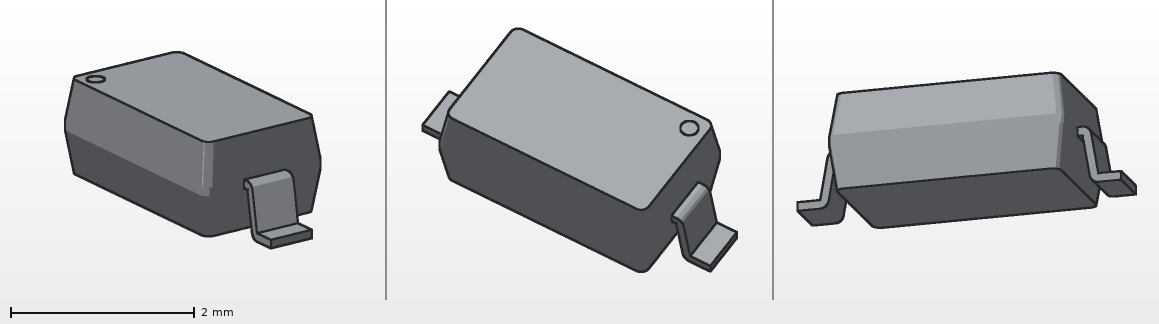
import cadquery as cq
import math


overall_length = 3.7
body_length = 2.7
body_width = 1.6
body_bottom = 0.05
body_top = 1.15
body_corner_radius = 0.1
draft_angle = 8.0

lead_thickness = 0.1
lead_width = 0.55
lead_foot_length = 0.26
lead_lean_angle = 10.0

dot_diameter = 0.2
dot_depth = 0.007
dot_x = -1.08
dot_y = -0.53

body_middle = (body_bottom + body_top) / 2
band_bottom = body_middle - lead_thickness / 2
band_top = body_middle + lead_thickness / 2


def rounded_rectangle(z, inset):
    """Body cross-section at height z, drawn in from the band on every side."""
    return cq.Sketch().rect(
        body_length - 2 * inset, body_width - 2 * inset
    ).vertices().fillet(body_corner_radius).moved(cq.Location(cq.Vector(0, 0, z)))


def make_body():
    """Lower draft, straight band and upper draft stacked into one block."""
    draft_height = body_top - band_top
    draft_inset = draft_height * math.tan(math.radians(draft_angle))
    sections = [
        rounded_rectangle(body_bottom, draft_inset),
        rounded_rectangle(band_bottom, 0),
        rounded_rectangle(band_top, 0),
        rounded_rectangle(body_top, draft_inset),
    ]
    body = cq.Workplane("XY")
    for lower, upper in zip(sections, sections[1:]):
        body = body.union(cq.Workplane("XY").placeSketch(lower, upper).loft(ruled=True))
    return body


def make_left_lead():
    """Foot, leaning shank and shoulder; bends are sharp inside and round outside."""
    lean = math.radians(lead_lean_angle)
    foot_end = -overall_length / 2
    foot_corner_x = foot_end + lead_foot_length
    shank_rise = band_bottom - lead_thickness
    shoulder_corner_x = (
        foot_corner_x + shank_rise * math.tan(lean) + lead_thickness / math.cos(lean)
    )

    def bend_point(corner_x, corner_z, side, angle):
        """Point on a bend; side is +1 toward the body, angle turns from horizontal."""
        return (
            corner_x + side * lead_thickness * math.cos(angle),
            corner_z - side * lead_thickness * math.sin(angle),
        )

    bend_middle = (lean + math.pi / 2) / 2
    inside_body = -body_length / 2 + lead_thickness
    profile = (
        cq.Workplane("XZ")
        .moveTo(foot_end, 0)
        .lineTo(foot_corner_x, 0)
        .threePointArc(
            bend_point(foot_corner_x, lead_thickness, 1, bend_middle),
            bend_point(foot_corner_x, lead_thickness, 1, lean),
        )
        .lineTo(shoulder_corner_x, band_bottom)
        .lineTo(inside_body, band_bottom)
        .lineTo(inside_body, band_top)
        .lineTo(shoulder_corner_x, band_top)
        .threePointArc(
            bend_point(shoulder_corner_x, band_bottom, -1, bend_middle),
            bend_point(shoulder_corner_x, band_bottom, -1, lean),
        )
        .lineTo(foot_corner_x, lead_thickness)
        .lineTo(foot_end, lead_thickness)
        .close()
    )
    return profile.extrude(lead_width / 2, both=True)


def make_dot():
    """Shallow round mark to be sunk into the top face near one corner."""
    return (
        cq.Workplane("XY", origin=(dot_x, dot_y, body_top - dot_depth))
        .circle(dot_diameter / 2)
        .extrude(dot_depth)
    )


left_lead = make_left_lead()
right_lead = left_lead.mirror("YZ")
result = make_body().union(left_lead).union(right_lead).cut(make_dot())